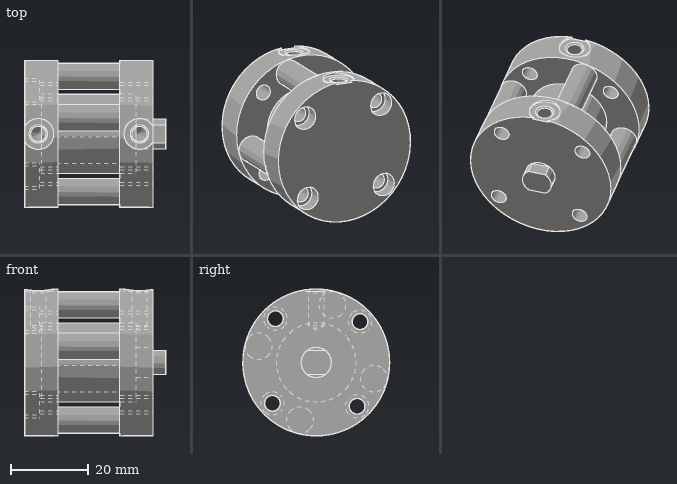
import cadquery as cq
import math


plate_diameter = 38.1
plate_thickness = 8.7
plate_gap = 15.93
rear_inner_x = plate_thickness
front_inner_x = rear_inner_x + plate_gap
front_outer_x = front_inner_x + plate_thickness

pitch_radius = 15.5
fastener_count = 4
rod_diameter = 6.9
rod_angle = 15.7
bolt_angle = 43.0
bolt_hole_diameter = 4.0
counterbore_diameter = 6.02
counterbore_depth = 3.8

barrel_diameter = 20.57
barrel_seat_depth = 4.25
barrel_length = plate_gap + 2 * barrel_seat_depth

port_inset = 3.55
spotface_diameter = 8.0
spotface_z = 18.45
port_mouth_diameter = 4.75
port_diameter = 3.95
port_chamfer = (port_mouth_diameter - port_diameter) / 2
port_shoulder_z = 9.52
drill_point_angle = 120.0

shaft_diameter = 7.8
shaft_protrusion = 3.28
flat_spacing = 6.3


def x_cylinder(diameter, start_x, length, y=0.0, z=0.0):
    """Cylinder parallel to X, starting at start_x."""
    return cq.Workplane("YZ", origin=(start_x, y, z)).circle(diameter / 2).extrude(length)


def pitch_points(first_angle):
    """Evenly spaced (y, z) points on the pitch circle, angles measured from +Y towards +Z."""
    points = []
    for index in range(fastener_count):
        angle = math.radians(first_angle + index * 360.0 / fastener_count)
        points.append((pitch_radius * math.cos(angle), pitch_radius * math.sin(angle)))
    return points


def port_cutter(port_x):
    """Spotface, chamfered mouth, drilled hole and conical drill point, revolved about the port axis."""
    port_radius = port_diameter / 2
    mouth_radius = port_mouth_diameter / 2
    spotface_radius = spotface_diameter / 2
    point_depth = port_radius / math.tan(math.radians(drill_point_angle / 2))
    profile = (
        cq.Workplane("XZ", origin=(port_x, 0, 0))
        .moveTo(0, port_shoulder_z - point_depth)
        .lineTo(port_radius, port_shoulder_z)
        .lineTo(port_radius, spotface_z - port_chamfer)
        .lineTo(mouth_radius, spotface_z)
        .lineTo(spotface_radius, spotface_z)
        .lineTo(spotface_radius, plate_diameter / 2)
        .lineTo(0, plate_diameter / 2)
        .close()
    )
    return profile.revolve(360, (0, 0), (0, 1))


def make_plate(start_x, port_x):
    """Disc with an air port, a barrel recess and four bolt holes."""
    plate = x_cylinder(plate_diameter, start_x, plate_thickness)
    plate = plate.cut(port_cutter(port_x))
    plate = plate.cut(x_cylinder(barrel_diameter, rear_inner_x - barrel_seat_depth, barrel_length))
    for y, z in pitch_points(bolt_angle):
        plate = plate.cut(x_cylinder(bolt_hole_diameter, start_x, plate_thickness, y, z))
    return plate


def make_rear_plate():
    """Plate whose bolt holes are counterbored from the outer face."""
    plate = make_plate(0, port_inset)
    for y, z in pitch_points(bolt_angle):
        plate = plate.cut(x_cylinder(counterbore_diameter, 0, counterbore_depth, y, z))
    return plate


def make_front_plate():
    """Plate with a central bore for the shaft."""
    plate = make_plate(front_inner_x, front_outer_x - port_inset)
    return plate.cut(x_cylinder(shaft_diameter, front_inner_x, plate_thickness))


def make_barrel():
    """Plain barrel reaching into both plates."""
    return x_cylinder(barrel_diameter, rear_inner_x - barrel_seat_depth, barrel_length)


def make_tie_rod(y, z):
    """Plain rod clamped between the inner faces of the plates."""
    return x_cylinder(rod_diameter, rear_inner_x, plate_gap, y, z)


def make_shaft():
    """Round shaft resting on the barrel end, with flats above and below its exposed end."""
    journal_start = front_inner_x + barrel_seat_depth
    journal = x_cylinder(shaft_diameter, journal_start, front_outer_x - journal_start)
    flats = cq.Workplane("XY", origin=(front_outer_x, 0, 0)).box(
        shaft_protrusion, shaft_diameter, flat_spacing, centered=(False, True, True)
    )
    exposed_end = x_cylinder(shaft_diameter, front_outer_x, shaft_protrusion).intersect(flats)
    return journal.union(exposed_end)


rear_plate = make_rear_plate()
front_plate = make_front_plate()
barrel = make_barrel()
tie_rods = [make_tie_rod(y, z) for y, z in pitch_points(-rod_angle)]
shaft = make_shaft()

result = cq.Compound.makeCompound(
    [rear_plate.val(), front_plate.val(), barrel.val(), *[rod.val() for rod in tie_rods], shaft.val()]
)